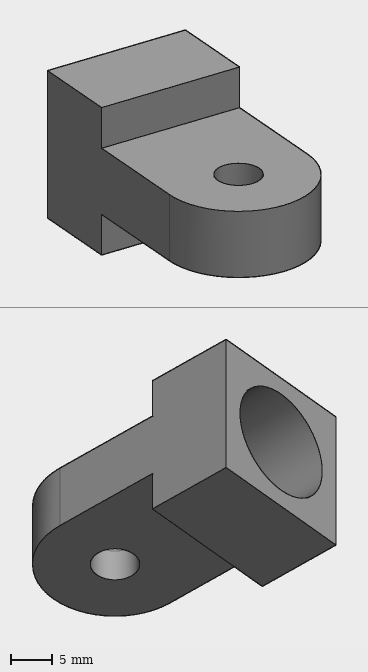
import cadquery as cq

length = 37.0
width = 20.0

block_length = 12.0
bore_diameter = 15.0
bore_depth = 10.0

tongue_thickness = 9.0
pin_diameter = 6.0
end_radius = width / 2
pin_x = length - end_radius


def make_block():
    """Square block with its outer face on the plane X = 0."""
    return cq.Workplane("XY").box(block_length, width, width, centered=(False, True, True))


def make_tongue():
    """Flat tongue, centred on the block, ending in a half circle."""
    return (
        cq.Workplane("XY")
        .moveTo(0, -end_radius)
        .lineTo(pin_x, -end_radius)
        .threePointArc((length, 0), (pin_x, end_radius))
        .lineTo(0, end_radius)
        .close()
        .extrude(tongue_thickness / 2, both=True)
    )


def make_pin_hole():
    """Through hole along Z, concentric with the rounded end."""
    return (
        cq.Workplane("XY")
        .center(pin_x, 0)
        .circle(pin_diameter / 2)
        .extrude(tongue_thickness, both=True)
    )


def make_bore():
    """Blind round bore entering the block along +X."""
    return cq.Workplane("YZ").circle(bore_diameter / 2).extrude(bore_depth)


result = make_block().union(make_tongue()).cut(make_pin_hole()).cut(make_bore())